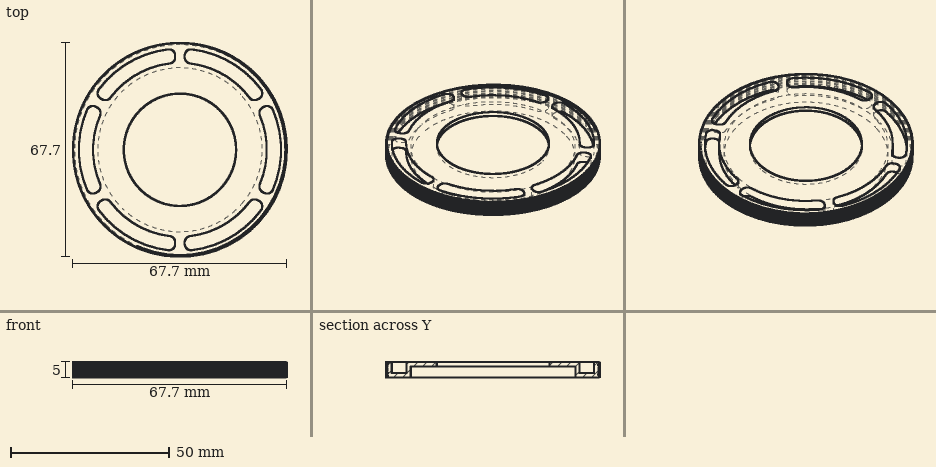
import cadquery as cq
import math

height = 5.0
outer_diameter = 67.7
bore_diameter = 35.5

recess_diameter = 52.0
lip_thickness = 1.5
recess_depth = height - lip_thickness

pocket_count = 6
pocket_inner_radius = 27.5
pocket_outer_radius = 32.0
pocket_floor_thickness = 1.5
pocket_depth = height - pocket_floor_thickness
pocket_gap = 3.0
pocket_corner_radius = 2.0

thread_pitch = 1.0
thread_depth = 0.5
flank_angle = 30.0
cutter_overshoot = 0.1


def ring_body():
    body = cq.Workplane("XY").circle(outer_diameter / 2).extrude(height)
    bore = cq.Workplane("XY").circle(bore_diameter / 2).extrude(height)
    recess = cq.Workplane("XY").circle(recess_diameter / 2).extrude(recess_depth)
    return body.cut(bore).cut(recess)


def pocket():
    """Blind pocket centred on +X, its ends parallel to the webs beside it."""
    half_step = math.pi / pocket_count

    def corner(radius, side):
        angle = half_step - math.asin(pocket_gap / 2 / radius)
        return (radius * math.cos(angle), side * radius * math.sin(angle))

    return (
        cq.Workplane("XY", origin=(0, 0, pocket_floor_thickness))
        .moveTo(*corner(pocket_inner_radius, -1))
        .lineTo(*corner(pocket_outer_radius, -1))
        .threePointArc((pocket_outer_radius, 0), corner(pocket_outer_radius, 1))
        .lineTo(*corner(pocket_inner_radius, 1))
        .threePointArc((pocket_inner_radius, 0), corner(pocket_inner_radius, -1))
        .close()
        .extrude(pocket_depth)
        .edges("|Z")
        .fillet(pocket_corner_radius)
    )


def thread_groove():
    """Helical V groove cutter whose tip meets the bottom face on +X."""
    crest_radius = outer_diameter / 2
    root_radius = crest_radius - thread_depth
    cutter_radius = crest_radius + cutter_overshoot
    half_rim = (cutter_radius - root_radius) * math.tan(math.radians(flank_angle))
    start_z = -thread_pitch
    length = height + 2 * thread_pitch
    section = [
        (root_radius, 0),
        (cutter_radius, -half_rim),
        (cutter_radius, half_rim),
    ]
    helices = [
        cq.Wire.makeHelix(thread_pitch, length, radius, cq.Vector(0, 0, start_z + offset))
        for radius, offset in section
    ]
    sides = [cq.Face.makeRuledSurface(helices[i - 1], helices[i]) for i in range(len(helices))]
    caps = []
    for end_z in (start_z, start_z + length):
        corners = [cq.Vector(radius, 0, end_z + offset) for radius, offset in section]
        caps.append(cq.Face.makeFromWires(cq.Wire.makePolygon(corners, close=True)))
    groove = cq.Solid.makeSolid(cq.Shell.makeShell(sides + caps))

    ring_envelope = cq.Workplane("XY").circle(2 * cutter_radius).extrude(height)
    return ring_envelope.intersect(cq.Workplane(groove))


pocket_cutter = pocket()
pocket_step = 360 / pocket_count

result = ring_body().cut(thread_groove())
for index in range(pocket_count):
    result = result.cut(pocket_cutter.rotate((0, 0, 0), (0, 0, 1), index * pocket_step))